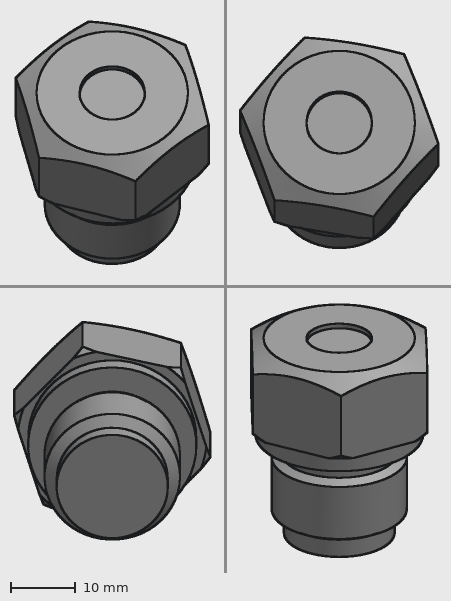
import cadquery as cq
import math

total_height = 33.52
across_flats = 27.0
hex_height = 13.5
flange_diameter = 26.0
flange_height = 3.0
neck_diameter = 18.0
thread_diameter = 20.95
thread_top = 13.05
pilot_diameter = 17.2
pilot_height = 3.0
thread_chamfer_angle = 30.0
top_face_diameter = 23.4
top_chamfer_angle = 30.0
bottom_corner_chamfer = 0.97
recess_diameter = 10.1
recess_depth = 0.8

corner_radius = across_flats / math.sqrt(3)
hex_bottom = total_height - hex_height
flange_bottom = hex_bottom - flange_height
thread_slope = math.tan(math.radians(thread_chamfer_angle))
neck_bottom = thread_top + (thread_diameter - neck_diameter) / 2 * thread_slope
thread_bottom = pilot_height + (thread_diameter - pilot_diameter) / 2 * thread_slope


def revolve_profile(points):
    """Revolve a closed (radius, height) outline around the Z axis."""
    return cq.Workplane("XZ").polyline(points).close().revolve(360, (0, 0), (0, 1))


def chamfered_hex_head():
    """Hexagon with flats facing +X and -X and its corners turned off by cones."""
    prism = (
        cq.Workplane("XY")
        .workplane(offset=hex_bottom)
        .polygon(6, 2 * corner_radius)
        .extrude(hex_height)
        .rotate((0, 0, 0), (0, 0, 1), 30)
    )
    top_radius = top_face_diameter / 2
    top_drop = (corner_radius - top_radius) * math.tan(math.radians(top_chamfer_angle))
    envelope = revolve_profile([
        (0, hex_bottom),
        (corner_radius - bottom_corner_chamfer, hex_bottom),
        (corner_radius, hex_bottom + bottom_corner_chamfer),
        (corner_radius, total_height - top_drop),
        (top_radius, total_height),
        (0, total_height),
    ])
    return prism.intersect(envelope)


def turned_shank():
    """Pilot, thread barrel, undercut neck and flange below the head."""
    return revolve_profile([
        (0, 0),
        (pilot_diameter / 2, 0),
        (pilot_diameter / 2, pilot_height),
        (thread_diameter / 2, thread_bottom),
        (thread_diameter / 2, thread_top),
        (neck_diameter / 2, neck_bottom),
        (neck_diameter / 2, flange_bottom),
        (flange_diameter / 2, flange_bottom),
        (flange_diameter / 2, hex_bottom),
        (0, hex_bottom),
    ])


def top_recess():
    """Shallow round pocket in the top face."""
    return (
        cq.Workplane("XY")
        .workplane(offset=total_height - recess_depth)
        .circle(recess_diameter / 2)
        .extrude(recess_depth)
    )


result = chamfered_hex_head().union(turned_shank()).cut(top_recess())